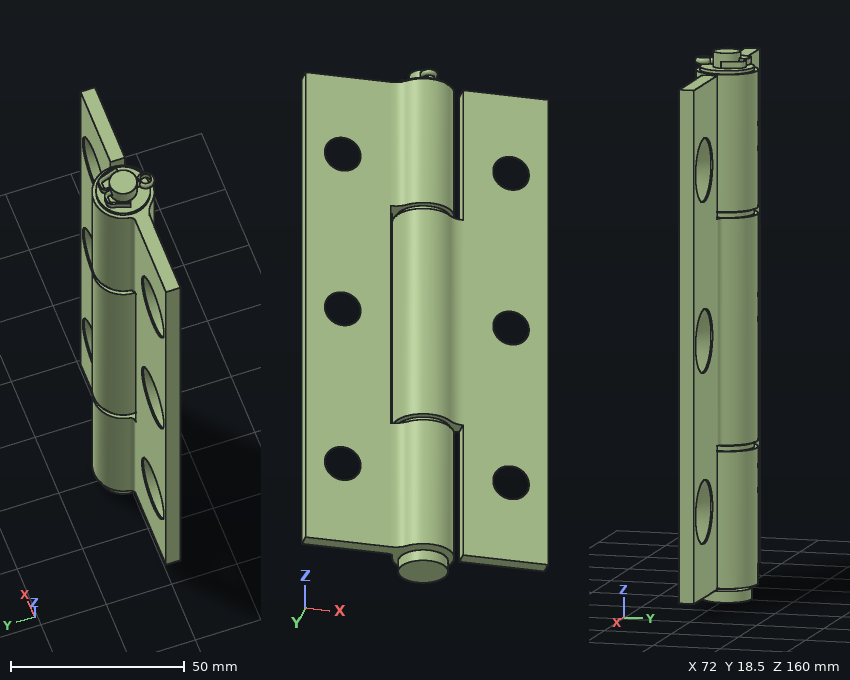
import cadquery as cq
import math

total_height = 160.0
half_width = 36.0

plate_thickness = 4.5
leaf_bottom = 4.5
pin_end_rise = 5.5
screw_hole_diameter = 10.5
countersink_depth = 4.0
countersink_slope = 1.0
screw_hole_x = 25.0
screw_hole_pitch = 50.0

knuckle_radius = 9.0
front_fillet = 6.0
back_fillet = 1.6
end_knuckle_length = 40.0
knuckle_gap = 2.0

pin_radius = 4.0
pin_head_radius = 7.2
pin_head_height = 3.4

washer_radius = 7.8
top_washer_thickness = 1.0
spacer_washer_thickness = 1.5

split_pin_rise = 2.4
wire_half_height = 1.0
wire_thickness = 1.0
leg_gap = 0.5
eye_inner_radius = 1.6
eye_front_y = -9.5
leg_back_y = 6.2
leg_bend_radius = 1.6
tip_bend_radius = 1.6
tip_bend_x = 3.2
tip_angle = 18.0
tip_length = 5.5

leaf_top = total_height - pin_end_rise
leaf_middle = (leaf_bottom + leaf_top) / 2
lower_knuckle_top = leaf_bottom + end_knuckle_length
upper_knuckle_bottom = leaf_top - end_knuckle_length
middle_knuckle_bottom = lower_knuckle_top + knuckle_gap
middle_knuckle_top = upper_knuckle_bottom - knuckle_gap
split_pin_z = leaf_top + split_pin_rise

front_fillet_y = -plate_thickness - front_fillet
front_fillet_x = math.sqrt((knuckle_radius + front_fillet) ** 2 - front_fillet_y**2)
back_fillet_y = back_fillet
back_fillet_x = math.sqrt((knuckle_radius + back_fillet) ** 2 - back_fillet_y**2)
plate_inner_x = front_fillet_x


def toward(start, end, distance):
    """Point at a distance from start on the line toward end."""
    share = distance / math.dist(start, end)
    return (
        start[0] + share * (end[0] - start[0]),
        start[1] + share * (end[1] - start[1]),
    )


def midpoint(start, end):
    """Point halfway between two points."""
    return ((start[0] + end[0]) / 2, (start[1] + end[1]) / 2)


def knuckle(side, bottom, top):
    """Solid knuckle with its filleted root, on the plate at side = -1 (left) or +1 (right)."""

    def at(point):
        return (side * point[0], point[1])

    axis = (0, 0)
    front_centre = (front_fillet_x, front_fillet_y)
    back_centre = (back_fillet_x, back_fillet_y)
    front_tangent = toward(axis, front_centre, knuckle_radius)
    back_tangent = toward(axis, back_centre, knuckle_radius)
    front_root = (front_fillet_x, -plate_thickness)
    back_root = (back_fillet_x, 0)
    front_between = midpoint(front_tangent, front_root)
    back_between = midpoint(back_tangent, back_root)
    return (
        cq.Workplane("XY", origin=(0, 0, bottom))
        .moveTo(*at((plate_inner_x, 0)))
        .lineTo(*at(back_root))
        .threePointArc(at(toward(back_centre, back_between, back_fillet)), at(back_tangent))
        .threePointArc((-side * knuckle_radius, 0), at(front_tangent))
        .threePointArc(at(toward(front_centre, front_between, front_fillet)), at(front_root))
        .close()
        .extrude(top - bottom)
    )


def screw_hole(x, z):
    """Cutter for one screw hole: a cone widening toward the back face, then a straight rim."""
    front_radius = screw_hole_diameter / 2
    back_radius = front_radius + countersink_slope * countersink_depth
    cone_end_y = countersink_depth - plate_thickness
    return (
        cq.Workplane("XY", origin=(x, 0, z))
        .moveTo(0, -plate_thickness)
        .lineTo(front_radius, -plate_thickness)
        .lineTo(back_radius, cone_end_y)
        .lineTo(back_radius, 0)
        .lineTo(0, 0)
        .close()
        .revolve(360, (0, 0), (0, 1))
    )


def leaf(side, knuckle_spans):
    """Plate with three screw holes and one bored knuckle per (bottom, top) span."""
    height = leaf_top - leaf_bottom
    body = cq.Workplane("XY").box(
        half_width - plate_inner_x, plate_thickness, height
    ).translate((side * (half_width + plate_inner_x) / 2, -plate_thickness / 2, leaf_middle))
    for bottom, top in knuckle_spans:
        body = body.union(knuckle(side, bottom, top))
    bore = cq.Workplane("XY", origin=(0, 0, leaf_bottom)).circle(pin_radius).extrude(height)
    body = body.cut(bore)
    for row in (-1, 0, 1):
        body = body.cut(screw_hole(side * screw_hole_x, leaf_middle + row * screw_hole_pitch))
    return body


left_leaf = leaf(-1, [(leaf_bottom, lower_knuckle_top), (upper_knuckle_bottom, leaf_top)])
right_leaf = leaf(1, [(middle_knuckle_bottom, middle_knuckle_top)])


def hinge_pin():
    """Headed pin, cross-drilled along Y for the split pin."""
    hole_radius = wire_thickness + leg_gap / 2
    head = cq.Workplane("XY").circle(pin_head_radius).extrude(pin_head_height)
    shank = cq.Workplane("XY").circle(pin_radius).extrude(total_height)
    cross_hole = (
        cq.Workplane("XZ", origin=(0, 0, split_pin_z))
        .circle(hole_radius)
        .extrude(pin_radius, both=True)
    )
    return head.union(shank).cut(cross_hole)


pin = hinge_pin()


def washer(bottom, thickness):
    """Flat ring around the pin."""
    return (
        cq.Workplane("XY", origin=(0, 0, bottom))
        .circle(washer_radius)
        .circle(pin_radius)
        .extrude(thickness)
    )


washers = [
    washer(bottom, thickness)
    for bottom, thickness in (
        (lower_knuckle_top, spacer_washer_thickness),
        (middle_knuckle_top, spacer_washer_thickness),
        (leaf_top, top_washer_thickness),
    )
]


eye_outer_radius = eye_inner_radius + wire_thickness
eye_y = eye_front_y + eye_outer_radius
leg_start_y = eye_y + eye_inner_radius


def half_round(origin):
    """Closed half-round section with its flat on the local vertical axis."""
    return (
        cq.Workplane("XZ", origin=origin)
        .moveTo(0, -wire_half_height)
        .threePointArc((wire_thickness, 0), (0, wire_half_height))
        .close()
    )


def split_pin_leg():
    """Right leg: runs back through the pin, turns outward, then forward beside the pin."""
    flat_x = leg_gap / 2
    angle = math.radians(tip_angle)
    diagonal = math.sqrt(0.5)
    tip_turn = math.pi / 2 - angle
    tip_start = (
        tip_bend_x + tip_bend_radius * math.sin(tip_turn),
        leg_back_y - tip_bend_radius * (1 - math.cos(tip_turn)),
    )
    tip_middle = (
        tip_bend_x + tip_bend_radius * math.sin(tip_turn / 2),
        leg_back_y - tip_bend_radius * (1 - math.cos(tip_turn / 2)),
    )
    tip_end = (
        tip_start[0] + tip_length * math.sin(angle),
        tip_start[1] - tip_length * math.cos(angle),
    )
    path = (
        cq.Workplane("XY", origin=(0, 0, split_pin_z))
        .moveTo(flat_x, leg_start_y)
        .lineTo(flat_x, leg_back_y - leg_bend_radius)
        .threePointArc(
            (
                flat_x + leg_bend_radius * (1 - diagonal),
                leg_back_y - leg_bend_radius * (1 - diagonal),
            ),
            (flat_x + leg_bend_radius, leg_back_y),
        )
        .lineTo(tip_bend_x, leg_back_y)
        .threePointArc(tip_middle, tip_start)
        .lineTo(*tip_end)
    )
    return half_round((flat_x, leg_start_y, split_pin_z)).sweep(path)


def split_pin_body():
    """Eye in front of the pin with two mirrored legs and a slit between them."""
    eye = half_round((eye_inner_radius, eye_y, split_pin_z)).revolve(
        360, (-eye_inner_radius, 0), (-eye_inner_radius, 1)
    )
    slit_length = eye_outer_radius
    slit = cq.Workplane("XY").box(leg_gap, slit_length, 2 * wire_half_height).translate(
        (0, eye_y + slit_length / 2, split_pin_z)
    )
    right_leg = split_pin_leg()
    left_leg = right_leg.mirror("YZ")
    return eye.cut(slit).union(right_leg).union(left_leg)


split_pin = split_pin_body()

result = cq.Compound.makeCompound(
    [
        left_leaf.val(),
        right_leaf.val(),
        pin.val(),
        *[ring.val() for ring in washers],
        split_pin.val(),
    ]
)